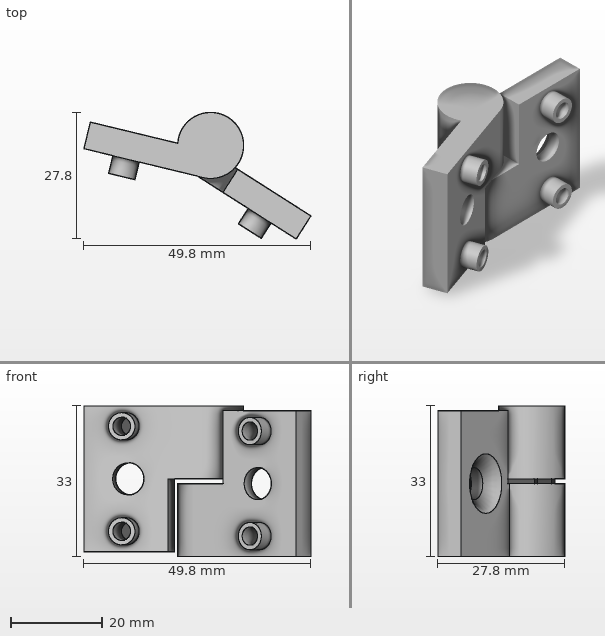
import cadquery as cq

knuckle_diameter = 14.5
knuckle_radius = knuckle_diameter / 2
leaf_reach = 26.85
leaf_thickness = 6.05
leaf_height = 31.95
plate_length = 19.0
knuckle_height = leaf_height / 2
knuckle_gap = 1.05

boss_diameter = 6.0
boss_bore_diameter = 4.0
boss_length = 4.0
boss_bore_depth = 2 * boss_length
boss_end_distance = 9.5
boss_spacing = 23.0
screw_hole_diameter = 7.0
screw_hole_end_distance = 10.0
countersink_depth = leaf_thickness / 2
countersink_diameter = screw_hole_diameter + 2 * countersink_depth

left_leaf_angle = 13.6
right_leaf_angle = 32.5

front_y = -knuckle_radius
back_y = front_y + leaf_thickness
free_end_x = -leaf_reach
boss_x = free_end_x + boss_end_distance
screw_hole_x = free_end_x + screw_hole_end_distance
toward_back = cq.Vector(0, 1, 0)


def make_plate_and_knuckle():
    """Full-height plate, half-height web and half-height solid knuckle."""
    plate = cq.Workplane("XY").box(plate_length, leaf_thickness, leaf_height, centered=(False, False, True))
    plate = plate.translate((free_end_x, front_y, 0))
    web = cq.Workplane("XY").box(leaf_reach, leaf_thickness, knuckle_height, centered=False)
    web = web.translate((free_end_x, front_y, 0))
    knuckle = cq.Workplane("XY").circle(knuckle_radius).extrude(knuckle_height)
    return plate.union(web).union(knuckle)


def add_bosses(leaf):
    """Two hollow bosses whose blind bores continue into the plate."""
    tip_y = front_y - boss_length
    for boss_z in (-boss_spacing / 2, boss_spacing / 2):
        tip = cq.Vector(boss_x, tip_y, boss_z)
        boss = cq.Solid.makeCylinder(boss_diameter / 2, boss_length, tip, toward_back)
        bore = cq.Solid.makeCylinder(boss_bore_diameter / 2, boss_bore_depth, tip, toward_back)
        leaf = leaf.union(cq.Workplane(boss)).cut(cq.Workplane(bore))
    return leaf


def cut_screw_hole(leaf):
    """Through hole at mid-height, countersunk from the back face."""
    hole_start = cq.Vector(screw_hole_x, front_y, 0)
    hole = cq.Solid.makeCylinder(screw_hole_diameter / 2, leaf_thickness, hole_start, toward_back)
    sink_start = cq.Vector(screw_hole_x, back_y - countersink_depth, 0)
    sink = cq.Solid.makeCone(
        screw_hole_diameter / 2, countersink_diameter / 2, countersink_depth, sink_start, toward_back
    )
    return leaf.cut(cq.Workplane(hole)).cut(cq.Workplane(sink))


def make_leaf():
    return cut_screw_hole(add_bosses(make_plate_and_knuckle()))


def turn_about_axis(leaf, angle):
    return leaf.rotate((0, 0, 0), (0, 0, 1), angle)


left_leaf = turn_about_axis(make_leaf(), -left_leaf_angle).translate((0, 0, knuckle_gap / 2))

right_leaf = make_leaf().rotate((0, 0, 0), (0, 1, 0), 180)
right_leaf = turn_about_axis(right_leaf, -right_leaf_angle).translate((0, 0, -knuckle_gap / 2))

result = cq.Compound.makeCompound([left_leaf.val(), right_leaf.val()])